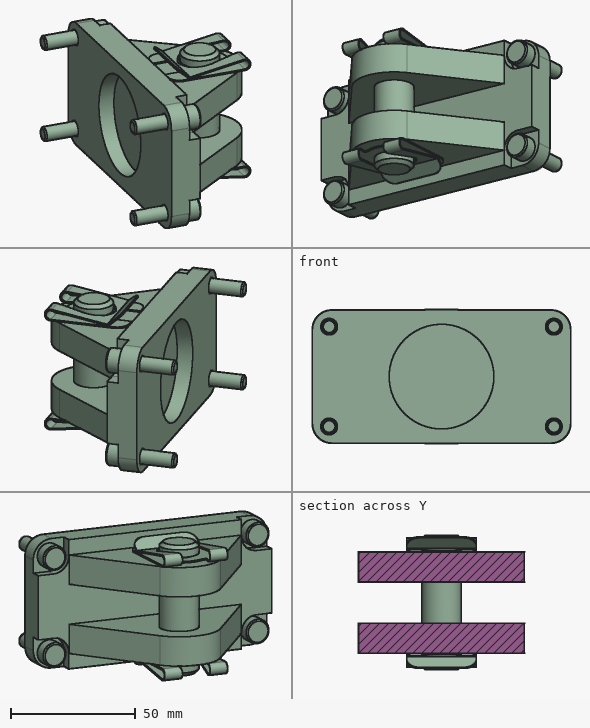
import cadquery as cq
import math

PLATE_LENGTH = 103.6
PLATE_HEIGHT = 53.5
PLATE_THICKNESS = 12.5
PLATE_CORNER_RADIUS = 8.0
FRONT_POCKET_DIAMETER = 42.0
FRONT_POCKET_DEPTH = 6.5

SCREW_SPACING_X = 90.0
SCREW_SPACING_Z = 40.0
SCREW_HOLE_DIAMETER = 6.6
SEAT_RADIUS = 6.7
SEAT_HEIGHT = 7.9
SHANK_DIAMETER = 6.0
SHANK_LENGTH = 22.0
HEAD_DIAMETER = 10.0
HEAD_HEIGHT = 6.0
SCREW_CHAMFER = 0.6

LUG_GAP = 16.5
LUG_THICKNESS = 12.1
LUG_ROOT_HALF_WIDTH = 38.1
LUG_END_RADIUS = 16.9

PIN_Y = 34.9
PIN_DIAMETER = 16.0
PIN_LENGTH = 54.0
PIN_CHAMFER = 1.6
GROOVE_DIAMETER = 12.0
GROOVE_WIDTH = 1.3
GROOVE_CLEARANCE = 0.6

CLIP_WIDTH = 27.9
CLIP_THICKNESS = 0.6
CLIP_FRONT_Y = 17.1
CLIP_CORNER_RADIUS = 5.0
LOOP_OUTER_RADIUS = 2.5
LOOP_Y = 48.6
CREASE_Y = 24.6
LEAF_GAP = 0.1
TAIL_ANGLE = 39.0
TAIL_LENGTH = 6.5
KEYHOLE_RADIUS = 9.0
WINDOW_END_HALF_WIDTH = 6.1
WINDOW_START_HALF_WIDTH = 7.0
WINDOW_START_Y = 45.5
BRIDGE_RADIUS = 11.9
SLOT_CORNER_RADIUS = 0.4

LUG_OUTER_Z = LUG_GAP / 2 + LUG_THICKNESS
LOOP_END_Y = LOOP_Y + LOOP_OUTER_RADIUS
GROOVE_Z = LUG_OUTER_Z + GROOVE_CLEARANCE
SCREW_POSITIONS = [
    (side_x * SCREW_SPACING_X / 2, side_z * SCREW_SPACING_Z / 2)
    for side_x in (-1, 1)
    for side_z in (-1, 1)
]


def cylinder_along_y(diameter, start_y, end_y, x=0, z=0):
    return (
        cq.Workplane("XZ", origin=(x, start_y, z))
        .circle(diameter / 2)
        .extrude(start_y - end_y)
    )


def make_lug(bottom_z):
    """Flat lug with straight flanks tangent to a round end about the pin axis."""
    root_drop = PIN_Y - PLATE_THICKNESS
    root_distance = math.hypot(LUG_ROOT_HALF_WIDTH, root_drop)
    tangent_angle = math.acos(LUG_END_RADIUS / root_distance) - math.atan2(root_drop, LUG_ROOT_HALF_WIDTH)
    tangent_x = LUG_END_RADIUS * math.cos(tangent_angle)
    tangent_y = PIN_Y + LUG_END_RADIUS * math.sin(tangent_angle)
    return (
        cq.Workplane("XY", origin=(0, 0, bottom_z))
        .moveTo(-LUG_ROOT_HALF_WIDTH, PLATE_THICKNESS)
        .lineTo(LUG_ROOT_HALF_WIDTH, PLATE_THICKNESS)
        .lineTo(tangent_x, tangent_y)
        .threePointArc((0, PIN_Y + LUG_END_RADIUS), (-tangent_x, tangent_y))
        .close()
        .extrude(LUG_THICKNESS)
    )


def make_screw_seat(x, z):
    """Cutter for a corner seat, rounded about the screw and open to both plate edges."""
    seat_depth = PLATE_THICKNESS - SEAT_HEIGHT
    reach = 2 * SEAT_RADIUS
    outward_x = math.copysign(reach / 2, x)
    outward_z = math.copysign(reach / 2, z)
    seat = cylinder_along_y(2 * SEAT_RADIUS, SEAT_HEIGHT, PLATE_THICKNESS, x, z)
    for shift_x, shift_z in ((outward_x, 0), (0, outward_z), (outward_x, outward_z)):
        opening = cq.Workplane("XY").box(reach, seat_depth, reach)
        seat = seat.union(opening.translate((x + shift_x, SEAT_HEIGHT + seat_depth / 2, z + shift_z)))
    return seat


def make_bracket():
    bracket = (
        cq.Workplane("XZ")
        .rect(PLATE_LENGTH, PLATE_HEIGHT)
        .extrude(-PLATE_THICKNESS)
        .edges("|Y")
        .fillet(PLATE_CORNER_RADIUS)
    )
    for x, z in SCREW_POSITIONS:
        bracket = bracket.cut(make_screw_seat(x, z))
        bracket = bracket.cut(cylinder_along_y(SCREW_HOLE_DIAMETER, 0, PLATE_THICKNESS, x, z))
    bracket = bracket.cut(cylinder_along_y(FRONT_POCKET_DIAMETER, 0, FRONT_POCKET_DEPTH))
    for bottom_z in (LUG_GAP / 2, -LUG_OUTER_Z):
        bracket = bracket.union(make_lug(bottom_z))
    pin_hole = cq.Workplane("XY").center(0, PIN_Y).circle(PIN_DIAMETER / 2).extrude(PIN_LENGTH, both=True)
    return bracket.cut(pin_hole)


def make_pin():
    pin = (
        cq.Workplane("XY")
        .center(0, PIN_Y)
        .circle(PIN_DIAMETER / 2)
        .extrude(PIN_LENGTH / 2, both=True)
        .faces("<Z or >Z")
        .chamfer(PIN_CHAMFER)
    )
    for groove_bottom_z in (GROOVE_Z, -GROOVE_Z - GROOVE_WIDTH):
        groove = (
            cq.Workplane("XY", origin=(0, PIN_Y, groove_bottom_z))
            .circle(PIN_DIAMETER)
            .circle(GROOVE_DIAMETER / 2)
            .extrude(GROOVE_WIDTH)
        )
        pin = pin.cut(groove)
    return pin


def make_screw(x, z):
    shank = cylinder_along_y(SHANK_DIAMETER, SEAT_HEIGHT - SHANK_LENGTH, SEAT_HEIGHT, x, z)
    shank = shank.faces("<Y").chamfer(SCREW_CHAMFER)
    head = cylinder_along_y(HEAD_DIAMETER, SEAT_HEIGHT, SEAT_HEIGHT + HEAD_HEIGHT, x, z)
    head = head.faces(">Y").chamfer(SCREW_CHAMFER)
    return shank.union(head)


def make_clip_sheet():
    """Bent strip: flat lower leaf, loop, sloping upper leaf and upturned tail."""
    mid_radius = LOOP_OUTER_RADIUS - CLIP_THICKNESS / 2
    loop_z = GROOVE_Z + LOOP_OUTER_RADIUS
    lower_z = GROOVE_Z + CLIP_THICKNESS / 2
    crease_z = lower_z + CLIP_THICKNESS + LEAF_GAP

    run = LOOP_Y - CREASE_Y
    rise = loop_z - crease_z
    slope = math.atan2(rise, run) + math.asin(mid_radius / math.hypot(run, rise))
    tangent_y = LOOP_Y - mid_radius * math.sin(slope)
    tangent_z = loop_z + mid_radius * math.cos(slope)
    tail_angle = math.radians(TAIL_ANGLE)
    tip_y = CREASE_Y - TAIL_LENGTH * math.cos(tail_angle)
    tip_z = crease_z + TAIL_LENGTH * math.sin(tail_angle)

    centre_line = (
        cq.Workplane("YZ")
        .moveTo(CLIP_FRONT_Y, lower_z)
        .lineTo(LOOP_Y, lower_z)
        .threePointArc((LOOP_Y + mid_radius, loop_z), (tangent_y, tangent_z))
        .lineTo(CREASE_Y, crease_z)
        .lineTo(tip_y, tip_z)
    )
    sheet = (
        cq.Workplane("XZ", origin=(0, CLIP_FRONT_Y, lower_z))
        .rect(CLIP_WIDTH, CLIP_THICKNESS)
        .sweep(centre_line, transition="right")
    )
    for tip in ((CLIP_FRONT_Y, lower_z), (tip_y, tip_z)):
        for side_x in (-CLIP_WIDTH / 2, CLIP_WIDTH / 2):
            corner = cq.NearestToPointSelector((side_x, *tip))
            sheet = sheet.edges(corner).fillet(CLIP_CORNER_RADIUS)
    return sheet


def make_loop_window():
    """Cutter that opens the loop and both leaves beyond the bridge around the pin."""
    window = (
        cq.Workplane("XY", origin=(0, 0, LUG_OUTER_Z))
        .moveTo(-WINDOW_START_HALF_WIDTH, WINDOW_START_Y)
        .lineTo(WINDOW_START_HALF_WIDTH, WINDOW_START_Y)
        .lineTo(WINDOW_END_HALF_WIDTH, LOOP_END_Y)
        .lineTo(-WINDOW_END_HALF_WIDTH, LOOP_END_Y)
        .close()
        .extrude(PIN_LENGTH)
    )
    bridge = cq.Workplane("XY", origin=(0, PIN_Y, LUG_OUTER_Z)).circle(BRIDGE_RADIUS).extrude(PIN_LENGTH)
    return window.cut(bridge)


def make_keyhole():
    """Cutter that clears the pin head in the upper leaf and runs on through the loop."""
    bottom_z = GROOVE_Z + CLIP_THICKNESS + LEAF_GAP / 2
    plane = cq.Workplane("XY", origin=(0, 0, bottom_z))
    head_clearance = plane.center(0, PIN_Y).circle(KEYHOLE_RADIUS).extrude(PIN_LENGTH)
    flank_angle = math.atan2(
        WINDOW_START_HALF_WIDTH - WINDOW_END_HALF_WIDTH,
        LOOP_END_Y - WINDOW_START_Y,
    )
    joint_x = KEYHOLE_RADIUS * math.cos(flank_angle)
    joint_y = PIN_Y + KEYHOLE_RADIUS * math.sin(flank_angle)
    throat = (
        plane.moveTo(-joint_x, joint_y)
        .lineTo(joint_x, joint_y)
        .lineTo(WINDOW_START_HALF_WIDTH, WINDOW_START_Y)
        .lineTo(WINDOW_END_HALF_WIDTH, LOOP_END_Y)
        .lineTo(-WINDOW_END_HALF_WIDTH, LOOP_END_Y)
        .lineTo(-WINDOW_START_HALF_WIDTH, WINDOW_START_Y)
        .close()
        .extrude(PIN_LENGTH)
    )
    return head_clearance.union(throat)


def make_clip(side_z):
    """Clip on the upper pin groove (side_z = 1), mirrored for the lower groove (side_z = -1)."""
    clip = make_clip_sheet().cut(make_loop_window()).cut(make_keyhole())

    slot_length = PIN_Y - CLIP_FRONT_Y
    slot_plane = cq.Workplane("XY", origin=(0, 0, GROOVE_Z))
    slot = slot_plane.center(0, PIN_Y - slot_length / 2).rect(GROOVE_DIAMETER, slot_length)
    slot = slot.extrude(CLIP_THICKNESS)
    slot_end = slot_plane.center(0, PIN_Y).circle(GROOVE_DIAMETER / 2).extrude(CLIP_THICKNESS)
    clip = clip.cut(slot.union(slot_end))
    for side_x in (-GROOVE_DIAMETER / 2, GROOVE_DIAMETER / 2):
        slot_corner = cq.NearestToPointSelector((side_x, CLIP_FRONT_Y, GROOVE_Z + CLIP_THICKNESS / 2))
        clip = clip.edges(slot_corner).fillet(SLOT_CORNER_RADIUS)
    return clip if side_z > 0 else clip.mirror("XY")


bracket = make_bracket()
pin = make_pin()
screws = [make_screw(x, z) for x, z in SCREW_POSITIONS]
clips = [make_clip(side_z) for side_z in (1, -1)]

result = cq.Compound.makeCompound(
    [
        bracket.val(),
        pin.val(),
        *[screw.val() for screw in screws],
        *[clip.val() for clip in clips],
    ]
)